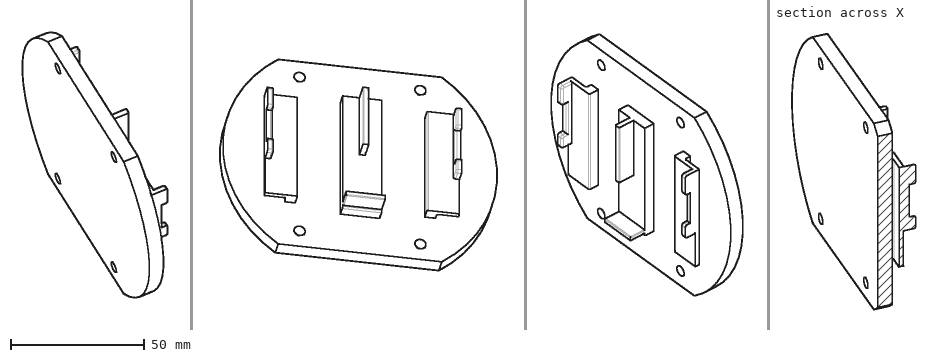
import cadquery as cq

plate_diameter = 104.6
plate_height = 84.0
plate_thickness = 6.0
hole_diameter = 4.2
hole_spacing_x = 46.0
hole_spacing_z = 70.0

bar_width = 15.0
bar_length = 50.7
bar_depth = 4.5
bar_edge_radius = 0.6

rib_width = 2.2
rib_back = 11.6
rib_bottom = -0.5
rib_edge_radius = 0.3

cross_plate_back = 11.4
cross_plate_thickness = 1.9
cross_plate_edge_radius = 0.3

arm_length = 45.0
arm_back = bar_depth
arm_underside = 2.6
arm_outer_x = 37.0
foot_outer_x = 28.8
foot_inner_x = 24.7
foot_fillet = 0.8
foot_edge_radius = 0.5
lip_thickness = 2.3
lip_back = 9.5
lip_bottom = -6.8
lip_corner_radius = 1.0
lip_edge_radius = 0.7
notch_top = 13.5
notch_bottom = -0.7
notch_floor = 7.0

bar_top = bar_length / 2
arm_top = arm_length / 2


def box(x_range, y_range, z_range):
    """Axis-aligned box between the given pairs of limits."""
    sizes = [high - low for low, high in (x_range, y_range, z_range)]
    corner = (x_range[0], y_range[0], z_range[0])
    return cq.Workplane("XY").box(*sizes, centered=False).translate(corner)


def base_plate():
    disc = cq.Workplane("XZ").circle(plate_diameter / 2).extrude(plate_thickness)
    half_width = plate_diameter / 2
    half_height = plate_height / 2
    band = box((-half_width, half_width), (-plate_thickness, 0), (-half_height, half_height))
    holes = (
        cq.Workplane("XZ")
        .rect(hole_spacing_x, hole_spacing_z, forConstruction=True)
        .vertices()
        .circle(hole_diameter / 2)
        .extrude(plate_thickness)
    )
    return disc.intersect(band).cut(holes)


def centre_bar():
    half_width = bar_width / 2
    bar = box((-half_width, half_width), (0, bar_depth), (-bar_top, bar_top))
    return bar.edges(">Y and <Z").fillet(bar_edge_radius)


def rib():
    half_width = rib_width / 2
    body = box((-half_width, half_width), (bar_depth, rib_back), (rib_bottom, bar_top))
    return body.edges("|Z and >Y").fillet(rib_edge_radius)


def cross_plate():
    """Plate with the free edges of both large faces rounded; its top is level with the arm ends."""
    half_width = bar_width / 2
    body = box(
        (-half_width, half_width),
        (bar_depth, cross_plate_back),
        (-arm_top - cross_plate_thickness, -arm_top),
    )
    return body.faces("|Z").edges("not <Y").fillet(cross_plate_edge_radius)


def left_arm():
    bracket = (
        cq.Workplane("XY", origin=(0, 0, -arm_top))
        .moveTo(-foot_inner_x, 0)
        .lineTo(-foot_inner_x, arm_back)
        .lineTo(-arm_outer_x, arm_back)
        .lineTo(-arm_outer_x, arm_underside)
        .lineTo(-foot_outer_x, arm_underside)
        .lineTo(-foot_outer_x, 0)
        .close()
        .extrude(arm_length)
    )
    inner_corner = cq.selectors.NearestToPointSelector((-foot_outer_x, arm_underside, 0))
    outer_corner = cq.selectors.NearestToPointSelector((-foot_inner_x, arm_back, 0))
    bracket = bracket.edges(inner_corner).fillet(foot_fillet)
    bracket = bracket.edges(outer_corner).fillet(foot_edge_radius)

    lip_x = (-arm_outer_x, lip_thickness - arm_outer_x)
    lip = box(lip_x, (arm_back, lip_back), (lip_bottom, arm_top))
    notch = box(lip_x, (notch_floor, lip_back), (notch_bottom, notch_top))
    lip = lip.cut(notch).edges("|X and >Y").fillet(lip_corner_radius)
    lip = lip.faces(">X").edges("not <Y").fillet(lip_edge_radius)
    return bracket.union(lip)


arm = left_arm()
result = base_plate().union(centre_bar()).union(rib()).union(cross_plate())
result = result.union(arm).union(arm.mirror("YZ"))